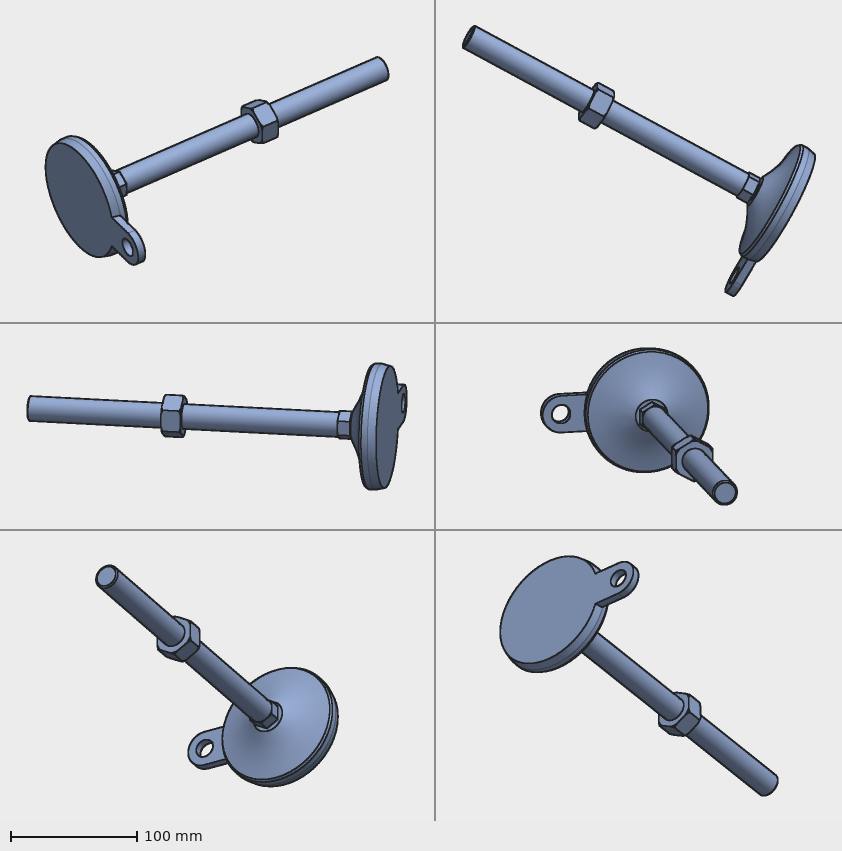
import cadquery as cq
import math

TOTAL_LENGTH = 288.5

PLATE_RADIUS = 100.0 / 2
SOLE_RADIUS = 48.5
TAPER_HEIGHT = 7.0
RIM_HEIGHT = 11.8
SHOULDER_HEIGHT = 13.8
SHOULDER_RADIUS = 48.8
CROWN_HEIGHT = 27.0
CROWN_RADIUS = 13.0
FLARE_MID_RADIUS = 29.0
FLARE_MID_HEIGHT = 19.0

LUG_REACH = 134.0 - PLATE_RADIUS
LUG_WIDTH = 30.0
LUG_HOLE_DIAMETER = LUG_WIDTH / 2
LUG_CENTER_X = LUG_REACH - LUG_WIDTH / 2

ROD_DIAMETER = 20.0
ROD_CHAMFER_HEIGHT = 1.0
ROD_CHAMFER_DEPTH = 1.5
NECK_DIAMETER = 15.0
HEX_BASE_START = 28.5
HEX_BASE_END = 38.5
HEX_BASE_FLATS = 20.0
NUT_START = 164.0
NUT_HEIGHT = 15.5
NUT_FLATS = 30.0
NUT_CHAMFER_HEIGHT = 1.2
NUT_CHAMFER_DEPTH = 1.5


def revolve_about_y(profile):
    """Turn a closed XY half profile around the spindle axis."""
    return profile.close().revolve(360, (0, 0, 0), (0, 1, 0))


def cylinder(diameter, start, end):
    """Round bar along Y between two heights."""
    return revolve_about_y(
        cq.Workplane("XY")
        .moveTo(0, start)
        .lineTo(diameter / 2, start)
        .lineTo(diameter / 2, end)
        .lineTo(0, end)
    )


def hexagon(across_flats, start, end):
    """Hexagonal bar along Y, with two corners on the Z direction."""
    across_corners = across_flats / math.cos(math.pi / 6)
    return (
        cq.Workplane("XZ", origin=(0, start, 0))
        .transformed(rotate=(0, 0, 90))
        .polygon(6, across_corners)
        .extrude(start - end)
    )


def foot_plate():
    """Tapered rim below a concave flare that rises to a flat crown."""
    return revolve_about_y(
        cq.Workplane("XY")
        .lineTo(SOLE_RADIUS, 0)
        .lineTo(PLATE_RADIUS, TAPER_HEIGHT)
        .lineTo(PLATE_RADIUS, RIM_HEIGHT)
        .lineTo(SHOULDER_RADIUS, SHOULDER_HEIGHT)
        .threePointArc((FLARE_MID_RADIUS, FLARE_MID_HEIGHT), (CROWN_RADIUS, CROWN_HEIGHT))
        .lineTo(0, CROWN_HEIGHT)
    )


def lug():
    """Round-ended tab with a through hole, as thick as the tapered rim."""
    bar = cq.Workplane("XY").box(LUG_CENTER_X, TAPER_HEIGHT, LUG_WIDTH, centered=(False, False, True))
    end_plane = cq.Workplane("XZ", origin=(LUG_CENTER_X, 0, 0))
    rounded_end = end_plane.circle(LUG_WIDTH / 2).extrude(-TAPER_HEIGHT)
    hole = end_plane.circle(LUG_HOLE_DIAMETER / 2).extrude(-TAPER_HEIGHT)
    return bar.union(rounded_end).cut(hole)


def rod():
    """Spindle with a chamfered free end."""
    radius = ROD_DIAMETER / 2
    return revolve_about_y(
        cq.Workplane("XY")
        .moveTo(0, HEX_BASE_END)
        .lineTo(radius, HEX_BASE_END)
        .lineTo(radius, TOTAL_LENGTH - ROD_CHAMFER_HEIGHT)
        .lineTo(radius - ROD_CHAMFER_DEPTH, TOTAL_LENGTH)
        .lineTo(0, TOTAL_LENGTH)
    )


def lock_nut():
    """Hexagon nut with its corners turned down at both ends."""
    end = NUT_START + NUT_HEIGHT
    corner_radius = NUT_FLATS / 2 / math.cos(math.pi / 6)
    face_radius = corner_radius - NUT_CHAMFER_DEPTH
    envelope = revolve_about_y(
        cq.Workplane("XY")
        .moveTo(0, NUT_START)
        .lineTo(face_radius, NUT_START)
        .lineTo(corner_radius, NUT_START + NUT_CHAMFER_HEIGHT)
        .lineTo(corner_radius, end - NUT_CHAMFER_HEIGHT)
        .lineTo(face_radius, end)
        .lineTo(0, end)
    )
    return hexagon(NUT_FLATS, NUT_START, end).intersect(envelope)


neck = cylinder(NECK_DIAMETER, CROWN_HEIGHT, HEX_BASE_START)
hex_base = hexagon(HEX_BASE_FLATS, HEX_BASE_START, HEX_BASE_END)

result = foot_plate().union(lug()).union(neck).union(hex_base).union(rod()).union(lock_nut())